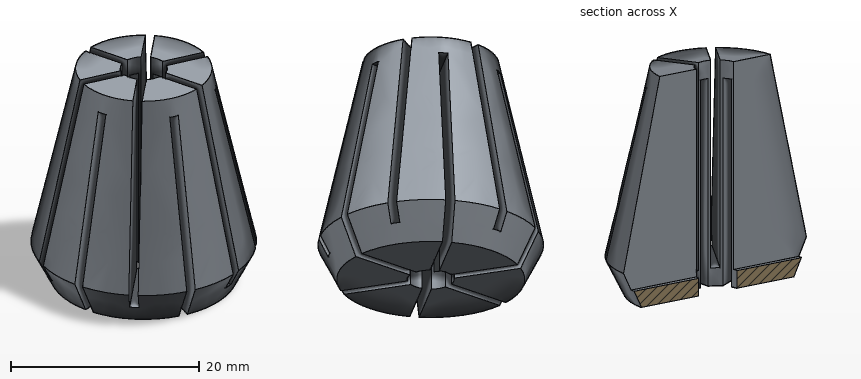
import cadquery as cq

height = 25
top_radius = 7.25
shoulder_radius = 12
bottom_radius = 10
shoulder_height = 4
bore_diameter = 5

slot_width = 1
slot_end_wall = 2
slots_per_end = 6
slot_spacing = 360 / slots_per_end
slot_depth = height - slot_end_wall


def collet_body():
    """Double cone with a plain through bore."""
    bore_radius = bore_diameter / 2
    return (
        cq.Workplane("XZ")
        .moveTo(bore_radius, 0)
        .lineTo(bottom_radius, 0)
        .lineTo(shoulder_radius, shoulder_height)
        .lineTo(top_radius, height)
        .lineTo(bore_radius, height)
        .close()
        .revolve(360, (0, 0, 0), (0, 1, 0))
    )


def cut_slots(body, first_angle, floor_z):
    """Cut evenly spaced slots from the bore outward, starting at floor_z."""
    for index in range(slots_per_end):
        slot = (
            cq.Workplane("XY")
            .box(shoulder_radius, slot_width, slot_depth, centered=(False, True, False))
            .translate((0, 0, floor_z))
            .rotate((0, 0, 0), (0, 0, 1), first_angle + index * slot_spacing)
        )
        body = body.cut(slot)
    return body


result = collet_body()
result = cut_slots(result, first_angle=slot_spacing / 2, floor_z=slot_end_wall)
result = cut_slots(result, first_angle=0, floor_z=0)